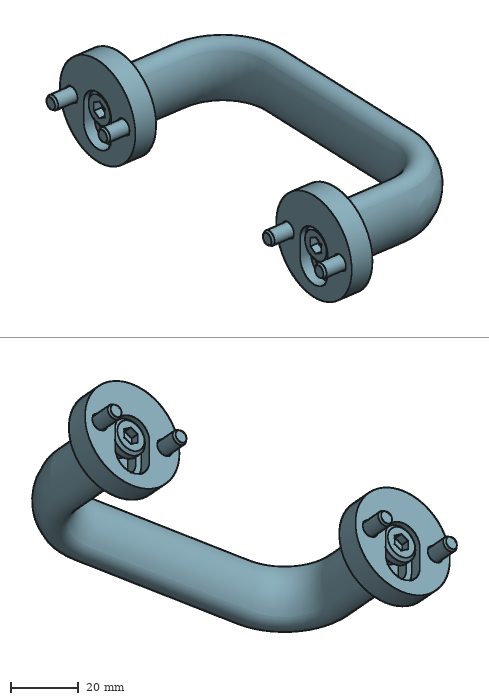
import cadquery as cq
import math

overall_length = 135.0
flange_diameter = 35.0
flange_thickness = 8.0
leg_offset = (overall_length - flange_diameter) / 2

bar_width = 13.1
bar_height = 21.0
bar_side_radius = 15.0
bend_radius = 20.0
handle_reach = 50.0

pin_diameter = 5.0
pin_tip_diameter = 4.0
pin_length = 8.0
pin_offset = 12.0
pin_chamfer_length = 0.8
pin_hole_diameter = 5.5
pin_hole_depth = 4.0

slot_travel = 6.8
wide_slot_width = 12.7
narrow_slot_width = 8.6
wide_slot_depth = 4.0

head_diameter = 12.0
head_face_diameter = 10.0
head_recess = 0.7
shank_diameter = 8.0
socket_across_flats = 5.0
socket_depth = 3.0

flange_back = flange_thickness


def cylinder_along_y(diameter, y_start, y_end):
    """Cylinder on the Y axis between two Y positions."""
    return (
        cq.Workplane("XZ", origin=(0, y_start, 0))
        .circle(diameter / 2)
        .extrude(y_start - y_end)
    )


def make_handle():
    """U-shaped bar swept from one flange back to the other."""
    half_width = bar_width / 2
    half_height = bar_height / 2

    side_centre = bar_side_radius - half_width
    end_radius = (bar_side_radius**2 - side_centre**2 - half_height**2) / (
        2 * (bar_side_radius - half_height)
    )
    blend_angle = math.atan2(half_height - end_radius, side_centre)
    blend_x = bar_side_radius * math.cos(blend_angle) - side_centre
    blend_z = bar_side_radius * math.sin(blend_angle)

    grip_y = flange_back + handle_reach - half_width
    bend_start_y = grip_y - bend_radius
    bend_end_x = leg_offset - bend_radius
    bend_middle_x = bend_end_x + bend_radius * math.sqrt(0.5)
    bend_middle_y = bend_start_y + bend_radius * math.sqrt(0.5)

    path = (
        cq.Workplane("XY")
        .moveTo(-leg_offset, flange_back)
        .lineTo(-leg_offset, bend_start_y)
        .threePointArc((-bend_middle_x, bend_middle_y), (-bend_end_x, grip_y))
        .lineTo(bend_end_x, grip_y)
        .threePointArc((bend_middle_x, bend_middle_y), (leg_offset, bend_start_y))
        .lineTo(leg_offset, flange_back)
    )
    return (
        cq.Workplane("XZ", origin=(-leg_offset, flange_back, 0))
        .moveTo(blend_x, -blend_z)
        .threePointArc((half_width, 0), (blend_x, blend_z))
        .threePointArc((0, half_height), (-blend_x, blend_z))
        .threePointArc((-half_width, 0), (-blend_x, -blend_z))
        .threePointArc((0, -half_height), (blend_x, -blend_z))
        .close()
        .sweep(path)
    )


def make_slot(width, depth):
    """Vertical slot cutter whose upper end is centred on the flange."""
    return (
        cq.Workplane("XZ")
        .center(0, -slot_travel / 2)
        .slot2D(slot_travel + width, width, 90)
        .extrude(-depth)
    )


def make_pin():
    """Locating pin with a chamfered tip, rising from the bottom of its hole."""
    tip_chamfer = (pin_diameter - pin_tip_diameter) / 2
    pin = cylinder_along_y(pin_diameter, -pin_length, pin_hole_depth)
    return pin.faces("<Y").chamfer(pin_chamfer_length, tip_chamfer)


def make_screw():
    """Socket head screw seated on the slot step, reaching the leg behind the flange."""
    head = cylinder_along_y(head_diameter, head_recess, wide_slot_depth)
    head = head.faces("<Y").edges().chamfer((head_diameter - head_face_diameter) / 2)
    socket = (
        cq.Workplane("XZ", origin=(0, head_recess, 0))
        .polygon(6, socket_across_flats / math.cos(math.pi / 6))
        .extrude(-socket_depth)
        .rotate((0, 0, 0), (0, 1, 0), 30)
    )
    shank = cylinder_along_y(shank_diameter, wide_slot_depth, flange_back)
    return head.union(shank).cut(socket)


def make_foot():
    """Flange with its slot, screw and two pins, centred on the Y axis."""
    foot = cylinder_along_y(flange_diameter, 0, flange_back)
    foot = foot.cut(make_slot(wide_slot_width, wide_slot_depth))
    foot = foot.cut(make_slot(narrow_slot_width, flange_thickness))
    foot = foot.union(make_screw())
    for side in (-1, 1):
        pin_position = (side * pin_offset, 0, 0)
        pin_hole = cylinder_along_y(pin_hole_diameter, 0, pin_hole_depth)
        foot = foot.cut(pin_hole.translate(pin_position))
        foot = foot.union(make_pin().translate(pin_position))
    return foot


result = make_handle()
for side in (-1, 1):
    result = result.union(make_foot().translate((side * leg_offset, 0, 0)))